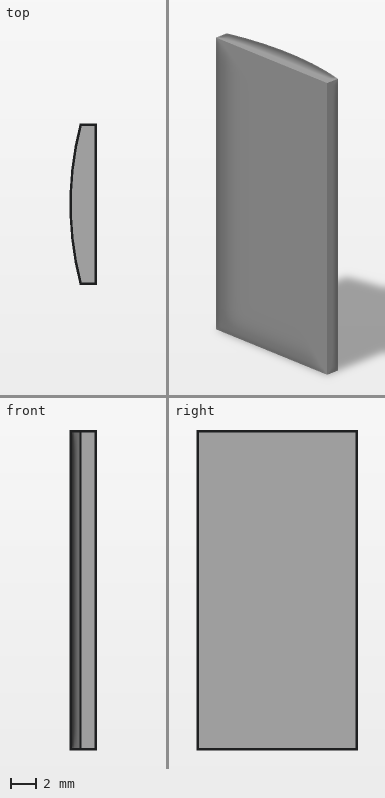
import cadquery as cq

height = 25.0
width = 12.5
center_thickness = 2.0
edge_thickness = 1.2

half_width = width / 2
back_x = center_thickness / 2
crown_x = back_x - center_thickness
edge_x = back_x - edge_thickness

profile = (
    cq.Workplane("XY")
    .workplane(offset=-height / 2)
    .moveTo(back_x, -half_width)
    .lineTo(back_x, half_width)
    .lineTo(edge_x, half_width)
    .threePointArc((crown_x, 0), (edge_x, -half_width))
    .close()
)

result = profile.extrude(height)